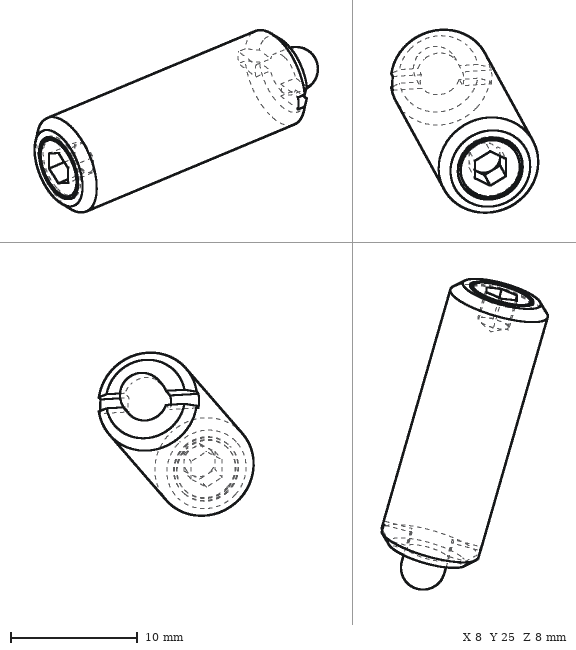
import cadquery as cq
import math

body_radius = 4.0
body_length = 22.0
end_chamfer = 0.8

overall_length = 25.0
pin_radius = 1.75

slot_width = 1.15
slot_depth = 1.45

gap_outer_radius = 2.6
plug_radius = 2.38
gap_depth = 0.25

socket_across_flats = 2.5
socket_depth = 2.5
drill_point_angle = 120.0


def cylinder_y(radius, start, end):
    """Cylinder around the Y axis between two Y positions."""
    direction = cq.Vector(0, 1, 0)
    return cq.Workplane(cq.Solid.makeCylinder(radius, end - start, cq.Vector(0, start, 0), direction))


def make_body():
    return cylinder_y(body_radius, 0, body_length).faces("<Y or >Y").chamfer(end_chamfer)


def make_slot():
    return cq.Workplane().box(
        2 * body_radius, slot_depth, slot_width
    ).translate((0, body_length - slot_depth / 2, 0))


def make_pin():
    dome_center = overall_length - pin_radius
    dome = cq.Workplane().sphere(pin_radius).translate((0, dome_center, 0))
    return cylinder_y(pin_radius, body_length - slot_depth, dome_center).union(dome)


def make_ring_gap():
    return cylinder_y(gap_outer_radius, 0, gap_depth).cut(cylinder_y(plug_radius, 0, gap_depth))


def make_socket():
    across_corners = socket_across_flats / math.cos(math.pi / 6)
    hexagon = (
        cq.Workplane("XZ")
        .polygon(6, across_corners)
        .extrude(-socket_depth)
        .rotate((0, 0, 0), (0, 1, 0), 30)
    )
    cone_radius = socket_across_flats / 2
    cone_depth = cone_radius / math.tan(math.radians(drill_point_angle / 2))
    cone = cq.Solid.makeCone(
        cone_radius, 0, cone_depth, cq.Vector(0, socket_depth, 0), cq.Vector(0, 1, 0)
    )
    return hexagon.union(cq.Workplane(cone))


result = (
    make_body()
    .cut(make_slot())
    .union(make_pin())
    .cut(make_ring_gap())
    .cut(make_socket())
)